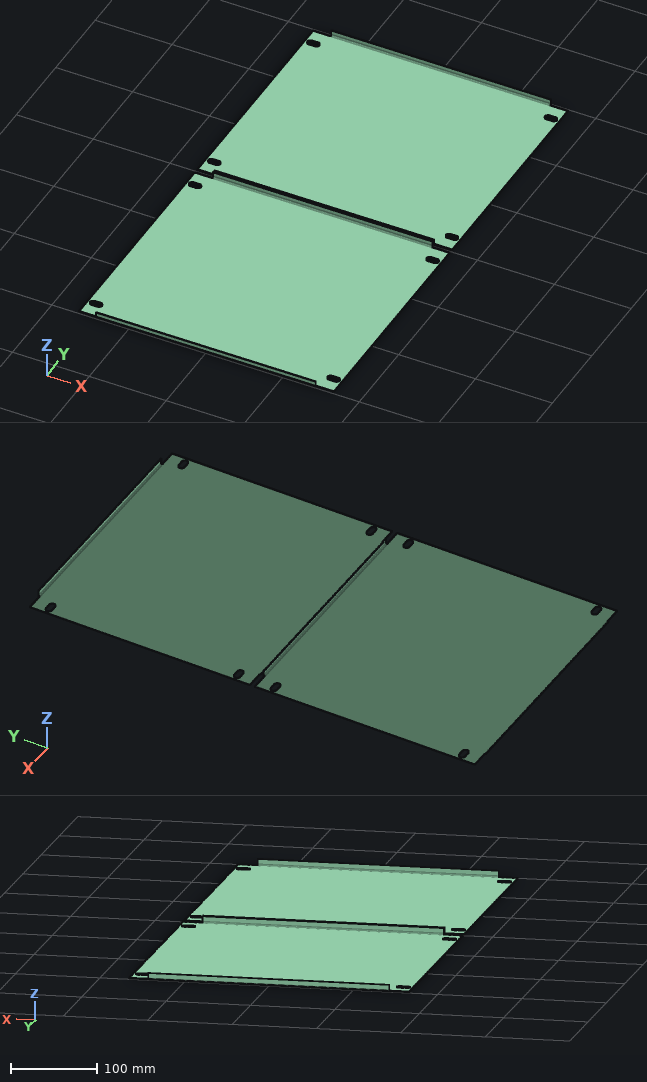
import cadquery as cq

PANEL_WIDTH = 332.0
TOTAL_LENGTH = 598.0
PANEL_GAP = 2.5
PANEL_LENGTH = (TOTAL_LENGTH - PANEL_GAP) / 2
PANEL_PITCH = PANEL_LENGTH + PANEL_GAP

SHEET_THICKNESS = 1.0
FLANGE_WIDTH = 286.0
INNER_BEND_RADIUS = 1.0
OUTER_BEND_RADIUS = INNER_BEND_RADIUS + SHEET_THICKNESS
FLANGE_STRAIGHT_HEIGHT = 6.0
FLANGE_HEIGHT = OUTER_BEND_RADIUS + FLANGE_STRAIGHT_HEIGHT
FLAT_LENGTH = PANEL_LENGTH - 2 * OUTER_BEND_RADIUS

SLOT_LENGTH = 15.5
SLOT_WIDTH = 8.0
SLOT_SPACING_X = 309.0
SLOT_SPACING_Y = 251.0


def make_channel():
    """Folded U section with rounded bends, open upwards and centred on Y."""
    inner_length = PANEL_LENGTH - 2 * SHEET_THICKNESS
    outer = (
        cq.Workplane("XY")
        .box(FLANGE_WIDTH, PANEL_LENGTH, FLANGE_HEIGHT, centered=(True, True, False))
        .edges("|X and <Z")
        .fillet(OUTER_BEND_RADIUS)
    )
    inner = (
        cq.Workplane("XY")
        .workplane(offset=SHEET_THICKNESS)
        .box(FLANGE_WIDTH, inner_length, FLANGE_HEIGHT, centered=(True, True, False))
        .edges("|X and <Z")
        .fillet(INNER_BEND_RADIUS)
    )
    return outer.cut(inner)


def make_slots():
    """Four obround mounting slots, one near each corner."""
    return (
        cq.Workplane("XY")
        .rarray(SLOT_SPACING_X, SLOT_SPACING_Y, 2, 2)
        .slot2D(SLOT_LENGTH, SLOT_WIDTH)
        .extrude(SHEET_THICKNESS)
    )


def make_panel():
    """Flat sheet with an upturned flange along each Y end and slotted corners."""
    flat_sheet = cq.Workplane("XY").box(
        PANEL_WIDTH, FLAT_LENGTH, SHEET_THICKNESS, centered=(True, True, False)
    )
    return flat_sheet.union(make_channel()).cut(make_slots())


panels = []
for side in (-1, 1):
    panel = make_panel().translate((0, side * PANEL_PITCH / 2, 0))
    panels.append(panel.val())

result = cq.Compound.makeCompound(panels)